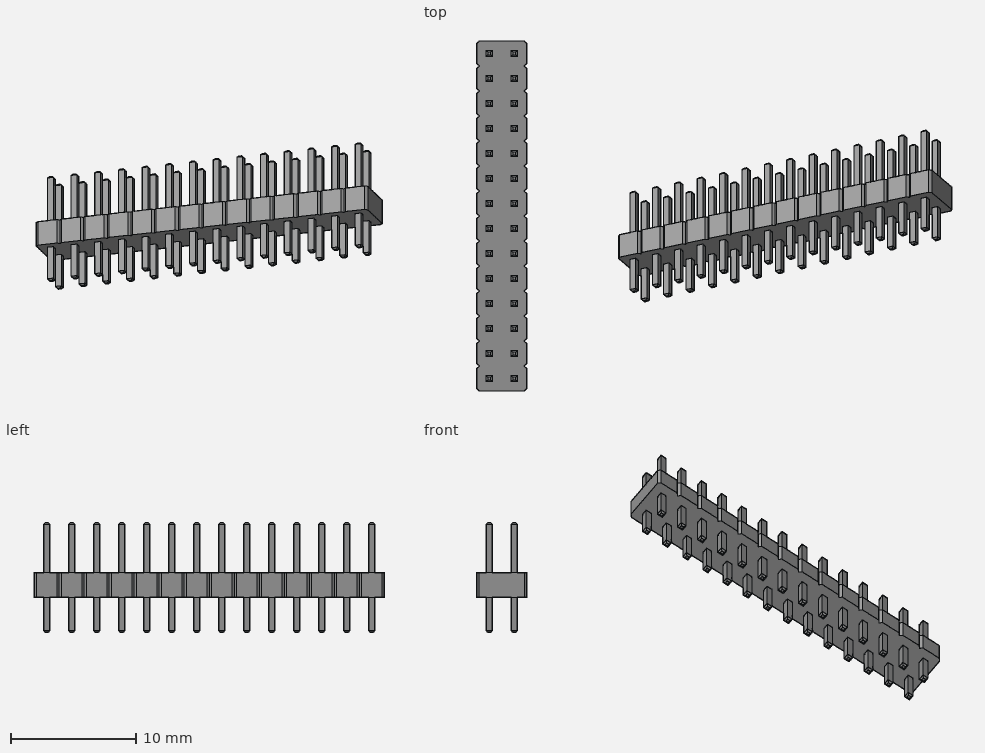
import cadquery as cq

length = 28.0
position_count = 14
row_count = 2
pitch = length / position_count

body_width = row_count * pitch
body_height = 2.0
corner_chamfer = 0.2

pin_width = 0.5
pin_above_body = 4.0
pin_below_body = 2.8
tip_chamfer = 0.15
pin_length = pin_below_body + body_height + pin_above_body


def body_segment(y_center):
    """One pin position of the body; the chamfers of neighbours form the V notches."""
    return (
        cq.Workplane("XY")
        .center(0, y_center)
        .rect(body_width, pitch)
        .extrude(body_height)
        .edges("|Z")
        .chamfer(corner_chamfer)
    )


def pin(x, y):
    """A square pin through the body, with all four sides tapered at both tips."""
    return (
        cq.Workplane("XY", origin=(x, y, -pin_below_body))
        .rect(pin_width, pin_width)
        .extrude(pin_length)
        .faces("<Z or >Z")
        .chamfer(tip_chamfer)
    )


def centered_positions(count):
    """Coordinates of evenly pitched places, centred on zero."""
    return [(index - (count - 1) / 2) * pitch for index in range(count)]


row_places = centered_positions(row_count)
pin_places = centered_positions(position_count)

header = cq.Workplane("XY")
for y in pin_places:
    header = header.union(body_segment(y))
header = header.clean()

for x in row_places:
    for y in pin_places:
        header = header.union(pin(x, y))

result = header